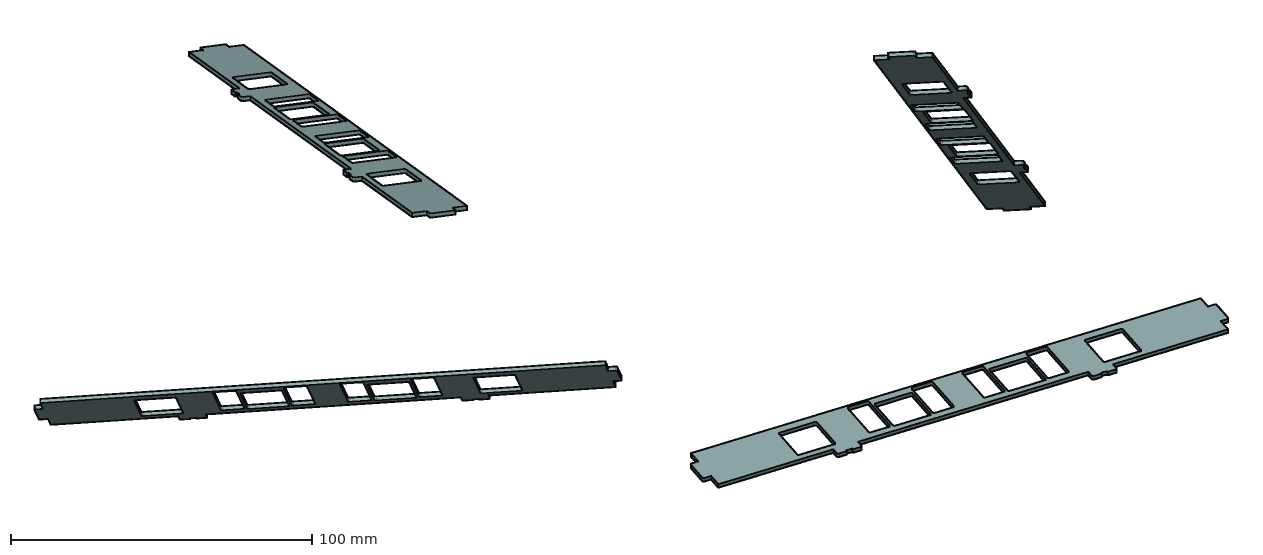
import cadquery as cq

thickness = 1.5
overall_length = 196.49
overall_width = 22.78
tab_reach = 3.0
plate_length = overall_length - 2 * tab_reach
plate_width = overall_width - tab_reach
key_pitch = 19.05

tab_width = 9.3
tab_corner_radius = 0.6
edge_tab_offset = 2.5 * key_pitch
notch_width = 2.2
notch_depth = 0.5

window_size = 14.1
window_center_y = -0.4
outer_window_offset = 3 * key_pitch
inner_window_offset = 1.125 * key_pitch
slot_width = 7.9
slot_length = 16.1
slot_center_y = 1.0
slot_spacing = 11.94
opening_corner_radius = 0.5


def block(size_x, size_y, center_x, center_y):
    """Full-thickness rectangular block standing on Z = 0."""
    return (
        cq.Workplane("XY")
        .center(center_x, center_y)
        .rect(size_x, size_y)
        .extrude(thickness)
    )


def end_tab(side):
    """Tab on the end at side * X, with its two free corners rounded."""
    free_corners = "|Z and >X" if side > 0 else "|Z and <X"
    center_x = side * (plate_length + tab_reach) / 2
    return block(tab_reach, tab_width, center_x, 0).edges(free_corners).fillet(tab_corner_radius)


def edge_tab(center_x):
    """Tab on the -Y edge, with rounded free corners and a shallow notch in its tip."""
    center_y = -(plate_width + tab_reach) / 2
    tip_y = -plate_width / 2 - tab_reach
    tab = block(tab_width, tab_reach, center_x, center_y)
    tab = tab.edges("|Z and <Y").fillet(tab_corner_radius)
    return tab.cut(block(notch_width, notch_depth, center_x, tip_y + notch_depth / 2))


def opening(size_x, size_y, center_x, center_y):
    """Cutter for a through opening with rounded corners."""
    return block(size_x, size_y, center_x, center_y).edges("|Z").fillet(opening_corner_radius)


result = block(plate_length, plate_width, 0, 0)
for side in (-1, 1):
    result = result.union(end_tab(side))
    result = result.union(edge_tab(side * edge_tab_offset))

for side in (-1, 1):
    for offset in (outer_window_offset, inner_window_offset):
        result = result.cut(opening(window_size, window_size, side * offset, window_center_y))
    for offset in (inner_window_offset - slot_spacing, inner_window_offset + slot_spacing):
        result = result.cut(opening(slot_width, slot_length, side * offset, slot_center_y))